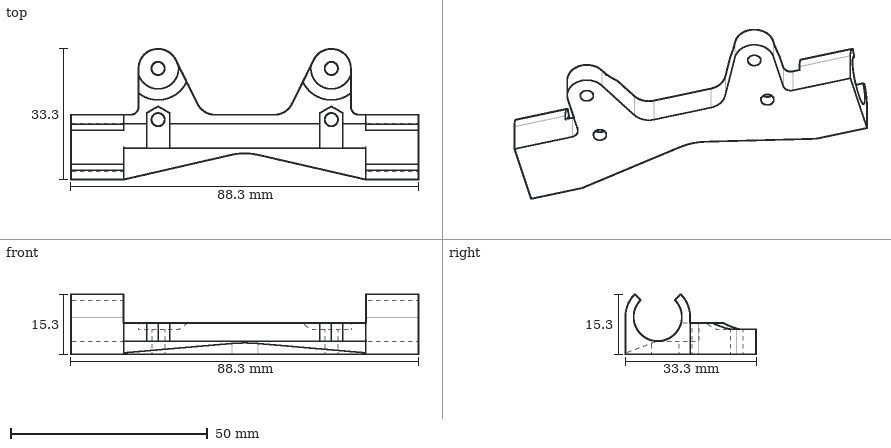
import cadquery as cq
import math

total_length = 88.3
clamp_length = 13.4
body_length = total_length - 2 * clamp_length

clamp_radius = 8.25
bore_radius = 6.1
bore_axis_z = 9.5
bore_floor_z = bore_axis_z - bore_radius
mouth_half_angle = 45.0

bridge_top_z = 8.0
ramp_front_z = 0.4
ramp_crest_y = -0.3
waist_corner_y = -1.2
waist_radius = 15.0

lug_x = 22.0
lug_y = 20.0
lug_radius = 5.0
lug_top_z = 6.4
relief_seat_radius = 5.2
relief_top_radius = 8.0
lug_root_x = 10.6
outer_root_fillet = 2.0
inner_root_fillet = 5.0

screw_diameter = 3.3
nut_y = 7.0
nut_across_flats = 5.85
nut_circumradius = nut_across_flats / math.sqrt(3)

clearance = 1.0


def make_clamp(side):
    """Upright block with a round top; side is -1 for the -X end, +1 for the +X end."""
    profile = (
        cq.Workplane("YZ")
        .moveTo(-clamp_radius, 0)
        .lineTo(clamp_radius, 0)
        .lineTo(clamp_radius, bore_axis_z)
        .threePointArc((0, bore_axis_z + clamp_radius), (-clamp_radius, bore_axis_z))
        .close()
    )
    clamp = profile.extrude(clamp_length)
    start_x = body_length / 2 if side > 0 else -total_length / 2
    return clamp.translate((start_x, 0, 0))


def make_bridge():
    """Plate joining the clamps, narrowed to a rounded front waist and ramped down ahead of the bore."""
    half = body_length / 2
    plate = (
        cq.Workplane("XY")
        .polyline([
            (-half, clamp_radius),
            (-half, -clamp_radius),
            (0, waist_corner_y),
            (half, -clamp_radius),
            (half, clamp_radius),
        ])
        .close()
        .extrude(bridge_top_z)
    )
    waist_edge = cq.selectors.NearestToPointSelector((0, waist_corner_y, bridge_top_z / 2))
    plate = plate.edges("|Z").edges(waist_edge).fillet(waist_radius)
    ramp_cut = (
        cq.Workplane("YZ")
        .polyline([
            (-clamp_radius, ramp_front_z),
            (ramp_crest_y, bore_floor_z),
            (0, bore_floor_z),
            (0, bridge_top_z + clearance),
            (-clamp_radius, bridge_top_z + clearance),
        ])
        .close()
        .extrude(half, both=True)
    )
    return plate.cut(ramp_cut)


def lug_tangent_point():
    """Point where the slanted inner side of the -X lug touches its round end."""
    dx = lug_x - lug_root_x
    dy = clamp_radius - lug_y
    distance = math.hypot(dx, dy)
    angle = math.atan2(dy, dx) + math.acos(lug_radius / distance)
    return -lug_x + lug_radius * math.cos(angle), lug_y + lug_radius * math.sin(angle)


def add_lug(body):
    """Join the -X lug to the bridge and fillet both of its roots."""
    outer_x = -lug_x - lug_radius
    lug = (
        cq.Workplane("XY")
        .moveTo(-lug_root_x, 0)
        .lineTo(-lug_root_x, clamp_radius)
        .lineTo(*lug_tangent_point())
        .threePointArc((-lug_x, lug_y + lug_radius), (outer_x, lug_y))
        .lineTo(outer_x, 0)
        .close()
        .extrude(bridge_top_z)
    )
    body = body.union(lug)
    for root_x, radius in ((outer_x, outer_root_fillet), (-lug_root_x, inner_root_fillet)):
        root_edge = cq.selectors.NearestToPointSelector((root_x, clamp_radius, bridge_top_z / 2))
        body = body.edges("|Z").edges(root_edge).fillet(radius)
    return body


def make_lug_relief():
    """Tool that lowers the -X lug end: a cone widening upward from the seat."""
    return (
        cq.Workplane("XY", origin=(-lug_x, lug_y, lug_top_z))
        .circle(relief_seat_radius)
        .workplane(offset=bridge_top_z - lug_top_z)
        .circle(relief_top_radius)
        .loft(ruled=True)
    )


def make_screw_holes():
    """Through holes of the -X side: one in the lug, one under the nut slot."""
    return (
        cq.Workplane("XY", origin=(-lug_x, 0, -clearance))
        .pushPoints([(0, lug_y), (0, nut_y)])
        .circle(screw_diameter / 2)
        .extrude(bridge_top_z + 2 * clearance)
    )


def make_nut_slot():
    """Tool for the -X nut slot: a hexagon pointing to +Y, open forward into the bore."""
    half_width = nut_across_flats / 2
    corner_y = nut_y + nut_circumradius / 2
    return (
        cq.Workplane("XY", origin=(-lug_x, 0, bore_floor_z))
        .polyline([
            (-half_width, 0),
            (half_width, 0),
            (half_width, corner_y),
            (0, nut_y + nut_circumradius),
            (-half_width, corner_y),
        ])
        .close()
        .extrude(bridge_top_z - bore_floor_z + clearance)
    )


def make_bore():
    """Tool for the rod bore along the whole length, with its flared mouth on top."""
    bore = (
        cq.Workplane("YZ", origin=(0, 0, bore_axis_z))
        .circle(bore_radius)
        .extrude(total_length / 2, both=True)
    )
    mouth_height = clamp_radius + clearance
    mouth_half_width = mouth_height * math.tan(math.radians(mouth_half_angle))
    mouth = (
        cq.Workplane("YZ", origin=(0, 0, bore_axis_z))
        .polyline([(0, 0), (mouth_half_width, mouth_height), (-mouth_half_width, mouth_height)])
        .close()
        .extrude(total_length / 2, both=True)
    )
    return bore.union(mouth)


def mirrored_pair(tool):
    """The -X tool together with its mirror image on the +X side."""
    return tool.union(tool.mirror("YZ"))


bridge = mirrored_pair(add_lug(make_bridge()))
result = bridge.union(make_clamp(-1)).union(make_clamp(1))
result = result.cut(make_bore())
for tool in (make_lug_relief(), make_nut_slot(), make_screw_holes()):
    result = result.cut(mirrored_pair(tool))